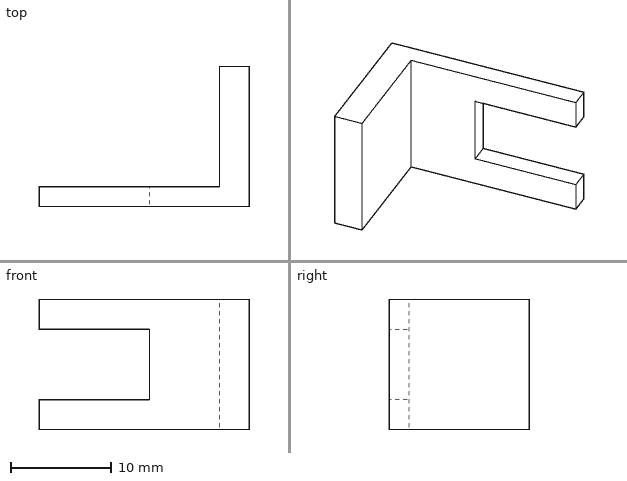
import cadquery as cq

length = 21.0
depth = 14.0
height = 13.0

plate_thickness = 2.0
flange_thickness = 3.0

slot_length = 11.0
prong_height = 3.0
slot_height = height - 2 * prong_height


def corner_box(size_x, size_y, size_z):
    """Box with its lowest corner at the origin."""
    return cq.Workplane("XY").box(size_x, size_y, size_z, centered=False)


plate = corner_box(length, plate_thickness, height)
flange = corner_box(flange_thickness, depth, height).translate((length - flange_thickness, 0, 0))

slot = corner_box(slot_length, plate_thickness, slot_height).translate((0, 0, prong_height))

result = plate.union(flange).cut(slot)